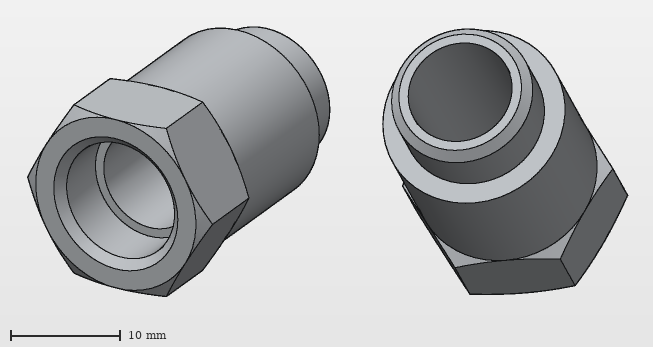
import cadquery as cq
import math

total_length = 28.0
hex_length = 8.0
spigot_length = 6.0
spigot_start = total_length - spigot_length

across_flats = 17.0
across_corners = across_flats / math.cos(math.radians(30))
body_diameter = across_flats
spigot_diameter = 13.15
spigot_chamfer = 0.87
hex_chamfer_angle = 30.0

through_diameter = 9.7
counterbore_diameter = 11.45
counterbore_depth = 6.0
mouth_diameter = 13.15
mouth_chamfer = (mouth_diameter - counterbore_diameter) / 2


def revolve_about_y(points):
    """Revolve a closed (radius, Y) outline around the Y axis."""
    return cq.Workplane("XY").polyline(points).close().revolve(360, (0, 0, 0), (0, 1, 0))


def make_hexagon():
    """Hexagonal head with flats facing +Z and -Z and both ends chamfered conically."""
    prism = cq.Workplane("XZ").polygon(6, across_corners).extrude(-hex_length)
    flat_radius = across_flats / 2
    corner_radius = across_corners / 2
    chamfer_height = (corner_radius - flat_radius) * math.tan(math.radians(hex_chamfer_angle))
    envelope = revolve_about_y([
        (0, 0),
        (flat_radius, 0),
        (corner_radius, chamfer_height),
        (corner_radius, hex_length - chamfer_height),
        (flat_radius, hex_length),
        (0, hex_length),
    ])
    return prism.intersect(envelope)


def make_shank():
    """Round body followed by the narrower spigot with a chamfered tip."""
    body_radius = body_diameter / 2
    spigot_radius = spigot_diameter / 2
    return revolve_about_y([
        (0, hex_length),
        (body_radius, hex_length),
        (body_radius, spigot_start),
        (spigot_radius, spigot_start),
        (spigot_radius, total_length - spigot_chamfer),
        (spigot_radius - spigot_chamfer, total_length),
        (0, total_length),
    ])


def make_bore():
    """Through hole with a counterbore and a chamfered mouth at the hexagon end."""
    through_radius = through_diameter / 2
    counterbore_radius = counterbore_diameter / 2
    return revolve_about_y([
        (0, 0),
        (mouth_diameter / 2, 0),
        (counterbore_radius, mouth_chamfer),
        (counterbore_radius, counterbore_depth),
        (through_radius, counterbore_depth),
        (through_radius, total_length),
        (0, total_length),
    ])


result = make_hexagon().union(make_shank()).cut(make_bore())